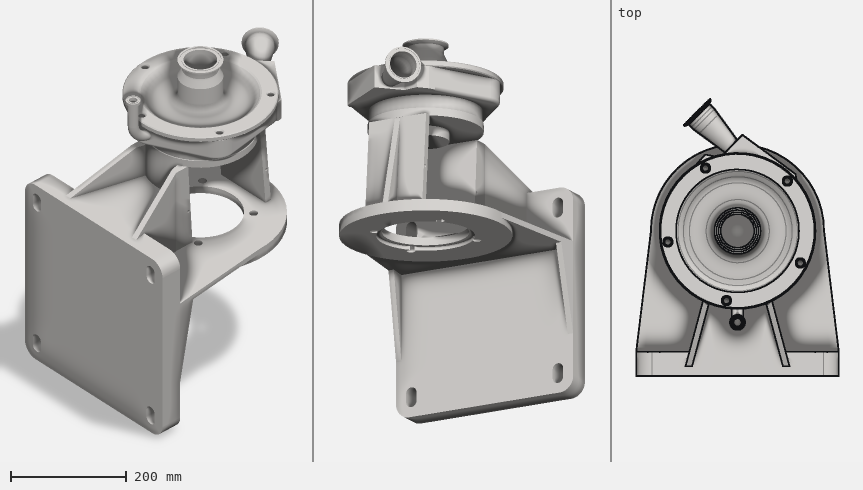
import cadquery as cq
import math


plate_width = 350.0
plate_height = 370.5
plate_thickness = 41.5
plate_front_y = -250.5
plate_back_y = plate_front_y + plate_thickness
plate_corner_radius = 27.0
slot_spacing_x = 289.5
slot_edge_distance = 35.5
slot_length = 35.5
slot_width = 21.0

shelf_top_z = 269.5
shelf_disc_thickness = 21.0
shelf_web_thickness = 10.0
shelf_radius = 149.5
shelf_hole_radius = 75.5
spigot_recess_radius = 85.5
spigot_recess_depth = 6.5
shelf_bolt_circle_radius = 92.0
shelf_bolt_radius = 8.0
shelf_bolt_count = 4
shelf_first_bolt_angle = 45.0
gusset_reach = 34.5
gusset_height = 156.0
gusset_thickness = 10.5

lantern_top_z = 435.5
lantern_half_width = 56.5
front_wall_radius = 100.5
front_wall_inner_top_y = -81.0
front_wall_inner_bottom_y = -70.5
rib_start_y = -109.0
rib_end_y = -234.0
rib_angle = 15.0
rib_thickness = 11.0
rear_wall_inner_top_y = 87.0
rear_wall_inner_bottom_y = 101.0
rear_wall_thickness = 12.5
rear_rib_foot_y = 143.5
rear_rib_thickness = 10.5
wall_hole_radius = 3.0
wall_hole_depth = 9.0
wall_hole_z = 339.5
wall_hole_places_y = (-80.0, 102.5)

lower_ring_radius = front_wall_radius
upper_ring_radius = 98.5
upper_ring_z = 450.0
boss_radius = 41.0
boss_length = 17.0

casing_bottom_z = 473.5
casing_top_z = 514.0
casing_corner_count = 5
casing_corner_distance = 98.5
casing_corner_radius = 35.5
casing_edge_radius = 6.0
casing_floor_thickness = 10.0
first_corner_angle = 45.0
corner_step = 360.0 / casing_corner_count

block_flat_angle = first_corner_angle + 1.5 * corner_step
block_flat_end = 70.5
block_tip = (-56.0, 132.0)
block_notch = (-29.0, 127.0)
block_outer_corner = (8.5, 166.0)
block_tail = [(100.5, 98.0), (102.0, 88.0)]

cover_radius = 135.0
cover_top_z = 524.5
cover_edge_chamfer = 2.0
cover_bolt_circle_radius = 121.5
cover_bolt_radius = 6.0
cover_bolt_sink_radius = 8.5
cover_bolt_depth = 24.0
recess_floor_z = 509.0
recess_rim_radius = 106.0
recess_rim_chamfer_width = 3.0
recess_wall_radius = recess_rim_radius - recess_rim_chamfer_width
recess_wall_angle = math.radians(45)
recess_rim_chamfer_depth = 2.0
recess_fillet_radius = 15.0

top_z = 593.5
nozzle_radius = 40.0
nozzle_neck_radius = 32.0
nozzle_bore_radius = 29.0
reducer_bottom_z = 559.0
reducer_top_z = 575.0
nozzle_lip_radius = 40.0
nozzle_lip_thickness = 2.5
nozzle_lip_taper = 4.0
nozzle_groove_radius = 34.5

discharge_angle = 135.0
discharge_z = 492.5
discharge_offset = 95.5
discharge_start = 109.0
discharge_end = 194.5
discharge_cone_end = 177.5
discharge_small_radius = 15.0
discharge_large_radius = 25.5
discharge_wall = 2.5
discharge_mouth_end = 183.5
discharge_mouth_radius = 24.0
discharge_throat_end = 166.0
discharge_throat_radius = 22.0
discharge_lip_radius = 32.0
discharge_lip_thickness = 2.5
discharge_lip_taper = 3.0
discharge_groove_radius = 27.5

pipe_y = -158.0
pipe_end_z = 495.5
pipe_radius = 9.5
pipe_bore_radius = 7.0
pipe_bend_radius = 36.0
pipe_top_z = 584.5
pipe_lip_radius = 13.0
pipe_lip_thickness = 5.5
pipe_groove_radius = 10.0

groove_width = 3.5
groove_depth = 1.0


def cylinder(radius, bottom_z, top):
    return cq.Workplane("XY").workplane(offset=bottom_z).circle(radius).extrude(top - bottom_z)


def prism(points, bottom_z, top):
    """Extrude an XY outline between two heights."""
    return cq.Workplane("XY").workplane(offset=bottom_z).polyline(points).close().extrude(top - bottom_z)


def side_prism(points, width):
    """Extrude a YZ outline symmetrically about X = 0."""
    return cq.Workplane("YZ").polyline(points).close().extrude(width / 2, both=True)


def gasket_groove(radius, top):
    """Ring cut from a horizontal lip, centred on the Z axis."""
    return cylinder(radius + groove_width / 2, top - groove_depth, top).cut(
        cylinder(radius - groove_width / 2, top - groove_depth, top)
    )


def polar(radius, angle):
    return radius * math.cos(math.radians(angle)), radius * math.sin(math.radians(angle))


def mirrored(points):
    """Close a right-hand XY outline with its mirror image across X = 0."""
    return points + [(-x, y) for x, y in reversed(points)]


def make_wall_plate():
    plate = (
        cq.Workplane("XY")
        .box(plate_width, plate_thickness, plate_height, centered=(True, False, False))
        .translate((0, plate_front_y, 0))
        .edges("|Y")
        .fillet(plate_corner_radius)
    )
    for z in (slot_edge_distance, plate_height - slot_edge_distance):
        slots = (
            cq.Workplane("XZ", origin=(0, plate_back_y, z))
            .pushPoints([(-slot_spacing_x / 2, 0), (slot_spacing_x / 2, 0)])
            .slot2D(slot_length, slot_width, 90)
            .extrude(plate_thickness)
        )
        plate = plate.cut(slots)
    return plate


def make_shelf():
    web_bottom_z = shelf_top_z - shelf_web_thickness
    outline = mirrored([(shelf_radius, 0), (plate_width / 2, plate_back_y)])
    web = prism(outline, web_bottom_z, shelf_top_z)
    disc_bottom_z = shelf_top_z - shelf_disc_thickness
    disc = cylinder(shelf_radius, disc_bottom_z, shelf_top_z)
    opening = cylinder(shelf_hole_radius, disc_bottom_z, shelf_top_z)
    recess = cylinder(spigot_recess_radius, disc_bottom_z, disc_bottom_z + spigot_recess_depth)
    bolts = (
        cq.Workplane("XY", origin=(0, 0, shelf_top_z))
        .polarArray(shelf_bolt_circle_radius, shelf_first_bolt_angle, 360, shelf_bolt_count)
        .circle(shelf_bolt_radius)
        .extrude(-shelf_disc_thickness)
    )

    wedge = side_prism(
        [
            (plate_back_y, web_bottom_z),
            (plate_back_y + gusset_reach, web_bottom_z),
            (plate_back_y, web_bottom_z - gusset_height),
        ],
        plate_width,
    )
    inner_outline = mirrored(
        [(shelf_radius - gusset_thickness, 0), (plate_width / 2 - gusset_thickness, plate_back_y)]
    )
    gussets = wedge.intersect(prism(outline, 0, shelf_top_z)).cut(prism(inner_outline, 0, shelf_top_z))
    return web.union(disc).cut(opening).cut(recess).cut(bolts).union(gussets)


def make_front_wall():
    rib_slope = math.tan(math.radians(rib_angle))
    rib_end_x = lantern_half_width + (rib_start_y - rib_end_y) * rib_slope
    inner_x = lantern_half_width - rib_thickness + rib_start_y * rib_slope
    outer_side = [(lantern_half_width, 0), (lantern_half_width, rib_start_y), (rib_end_x, rib_end_y)]
    filled_outline = mirrored(outer_side)
    ribs = prism(filled_outline, shelf_top_z, lantern_top_z).cut(
        prism(
            mirrored([(inner_x, 0), (rib_end_x - rib_thickness, rib_end_y)]),
            shelf_top_z,
            lantern_top_z,
        )
    )
    wall = cylinder(front_wall_radius, shelf_top_z, lantern_top_z).intersect(
        prism(filled_outline, shelf_top_z, lantern_top_z)
    )
    block = prism(filled_outline, shelf_top_z, plate_height)
    profile = side_prism(
        [
            (front_wall_inner_bottom_y, shelf_top_z),
            (front_wall_inner_top_y, lantern_top_z),
            (rib_start_y, lantern_top_z),
            (rib_end_y, plate_height),
            (rib_end_y, shelf_top_z),
        ],
        plate_width,
    )
    return ribs.union(wall).union(block).intersect(profile)


def make_rear_wall():
    outer_top_y = rear_wall_inner_top_y + rear_wall_thickness
    outer_bottom_y = rear_wall_inner_bottom_y + rear_wall_thickness
    wall = side_prism(
        [
            (rear_wall_inner_bottom_y, shelf_top_z),
            (rear_wall_inner_top_y, lantern_top_z),
            (outer_top_y, lantern_top_z),
            (outer_bottom_y, shelf_top_z),
        ],
        2 * lantern_half_width,
    )
    rib = side_prism(
        [
            (rear_wall_inner_bottom_y, shelf_top_z),
            (outer_top_y, lantern_top_z),
            (rear_rib_foot_y, shelf_top_z),
        ],
        rear_rib_thickness,
    )
    return wall.union(rib)


def make_wall_holes():
    holes = cq.Workplane("YZ")
    for side in (-1, 1):
        face = cq.Workplane("YZ", origin=(side * lantern_half_width, 0, wall_hole_z))
        drill = face.pushPoints([(y, 0) for y in wall_hole_places_y]).circle(wall_hole_radius)
        holes = holes.add(drill.extrude(-side * wall_hole_depth, combine=False))
    return holes.combine()


def make_base_rings():
    lower_ring = cylinder(lower_ring_radius, lantern_top_z, upper_ring_z)
    upper_ring = cylinder(upper_ring_radius, upper_ring_z, casing_bottom_z)
    boss = cylinder(boss_radius, lantern_top_z - boss_length, lantern_top_z)
    return lower_ring.union(upper_ring).union(boss)


def make_casing():
    corners = [
        polar(casing_corner_distance, first_corner_angle + i * corner_step)
        for i in range(casing_corner_count)
    ]
    casing = (
        cq.Workplane("XY", origin=(0, 0, casing_bottom_z))
        .polyline(corners)
        .close()
        .offset2D(casing_corner_radius)
        .extrude(casing_top_z - casing_bottom_z)
        .faces("<Z")
        .edges()
        .fillet(casing_edge_radius)
    )
    return casing.union(make_discharge_block())


def make_discharge_block():
    half_corner = math.radians(corner_step / 2)
    flat_distance = casing_corner_distance * math.cos(half_corner) + casing_corner_radius
    flat_x, flat_y = polar(flat_distance, block_flat_angle)

    def along_flat(distance):
        step_x, step_y = polar(distance, block_flat_angle - 90)
        return flat_x + step_x, flat_y + step_y

    flat_half_length = casing_corner_distance * math.sin(half_corner)
    outline = [
        (0, 0),
        along_flat(flat_half_length),
        along_flat(block_flat_end),
        block_tip,
        block_notch,
        block_outer_corner,
        *block_tail,
    ]
    return prism(outline, casing_bottom_z, casing_top_z)


def make_cover():
    """Recessed cover plate and suction nozzle as one turned body."""
    half_turn = recess_wall_angle / 2
    fillet_width = recess_fillet_radius * math.sin(recess_wall_angle)
    fillet_rise = recess_fillet_radius * (1 - math.cos(recess_wall_angle))
    wall_top_z = cover_top_z - recess_rim_chamfer_depth
    wall_rise = wall_top_z - recess_floor_z - fillet_rise
    fillet_outer_radius = recess_wall_radius - wall_rise / math.tan(recess_wall_angle)
    floor_outer_radius = fillet_outer_radius - fillet_width
    fillet_middle = (
        floor_outer_radius + recess_fillet_radius * math.sin(half_turn),
        recess_floor_z + recess_fillet_radius * (1 - math.cos(half_turn)),
    )
    foot_sweep = recess_fillet_radius * (1 - math.sqrt(0.5))
    lip_bottom_z = top_z - nozzle_lip_thickness
    return (
        cq.Workplane("XZ")
        .moveTo(0, casing_top_z - casing_edge_radius)
        .lineTo(recess_wall_radius, casing_top_z - casing_edge_radius)
        .lineTo(recess_wall_radius, casing_top_z)
        .lineTo(cover_radius - cover_edge_chamfer, casing_top_z)
        .lineTo(cover_radius, casing_top_z + cover_edge_chamfer)
        .lineTo(cover_radius, cover_top_z - cover_edge_chamfer)
        .lineTo(cover_radius - cover_edge_chamfer, cover_top_z)
        .lineTo(recess_rim_radius, cover_top_z)
        .lineTo(recess_wall_radius, wall_top_z)
        .lineTo(fillet_outer_radius, recess_floor_z + fillet_rise)
        .threePointArc(fillet_middle, (floor_outer_radius, recess_floor_z))
        .lineTo(nozzle_radius + recess_fillet_radius, recess_floor_z)
        .threePointArc(
            (nozzle_radius + foot_sweep, recess_floor_z + foot_sweep),
            (nozzle_radius, recess_floor_z + recess_fillet_radius),
        )
        .lineTo(nozzle_radius, reducer_bottom_z)
        .lineTo(nozzle_neck_radius, reducer_top_z)
        .lineTo(nozzle_neck_radius, lip_bottom_z - nozzle_lip_taper)
        .lineTo(nozzle_lip_radius, lip_bottom_z)
        .lineTo(nozzle_lip_radius, top_z)
        .lineTo(0, top_z)
        .close()
        .revolve(360, (0, 0, 0), (0, 1, 0))
    )


def make_cover_recess_clearance():
    """Space above the recess floor that the casing must leave free."""
    return cylinder(recess_wall_radius, recess_floor_z, casing_top_z)


def make_cover_bolts():
    sink_depth = cover_bolt_sink_radius - cover_bolt_radius
    bolt = (
        cq.Workplane("XZ")
        .polyline(
            [
                (0, 0),
                (cover_bolt_sink_radius, 0),
                (cover_bolt_radius, -sink_depth),
                (cover_bolt_radius, -cover_bolt_depth),
                (0, -cover_bolt_depth - cover_bolt_radius),
            ]
        )
        .close()
        .revolve(360, (0, 0, 0), (0, 1, 0))
    )
    bolts = cq.Workplane("XY")
    for i in range(casing_corner_count):
        x, y = polar(cover_bolt_circle_radius, first_corner_angle + i * corner_step)
        bolts = bolts.add(bolt.translate((x, y, cover_top_z)))
    return bolts.combine()


def place_on_discharge(points):
    """Turn (radius, distance) points into a body around the discharge axis."""
    axis_x, axis_y = polar(discharge_offset, discharge_angle - 90)
    direction_x, direction_y = polar(1, discharge_angle)
    plane = cq.Plane(
        origin=(axis_x, axis_y, discharge_z),
        xDir=(direction_y, -direction_x, 0),
        normal=(0, 0, 1),
    )
    return cq.Workplane(plane).polyline(points).close().revolve(360, (0, 0, 0), (0, 1, 0))


def make_discharge_nozzle():
    lip_start = discharge_end - discharge_lip_thickness
    root = discharge_start - discharge_wall
    outer = place_on_discharge(
        [
            (0, root),
            (discharge_small_radius, root),
            (discharge_small_radius, discharge_start),
            (discharge_large_radius, discharge_cone_end),
            (discharge_large_radius, lip_start - discharge_lip_taper),
            (discharge_lip_radius, lip_start),
            (discharge_lip_radius, discharge_end),
            (0, discharge_end),
        ]
    )
    bore = place_on_discharge(
        [
            (0, discharge_start),
            (discharge_small_radius - discharge_wall, discharge_start),
            (discharge_throat_radius, discharge_throat_end),
            (discharge_mouth_radius, discharge_mouth_end),
            (discharge_mouth_radius, discharge_end),
            (0, discharge_end),
        ]
    )
    groove = place_on_discharge(
        [
            (discharge_groove_radius - groove_width / 2, discharge_end - groove_depth),
            (discharge_groove_radius + groove_width / 2, discharge_end - groove_depth),
            (discharge_groove_radius + groove_width / 2, discharge_end),
            (discharge_groove_radius - groove_width / 2, discharge_end),
        ]
    )
    return outer.cut(bore).cut(groove)


def make_flush_pipe():
    """Upright tube that bends into the side of the casing."""
    bend_start_z = pipe_end_z + pipe_bend_radius
    start = cq.Workplane("XY", origin=(0, pipe_y, bend_start_z))
    upright = start.circle(pipe_radius).circle(pipe_bore_radius).extrude(pipe_top_z - bend_start_z)
    bend = start.circle(pipe_radius).circle(pipe_bore_radius).revolve(
        90, (0, pipe_bend_radius, 0), (1, pipe_bend_radius, 0)
    )
    lip = (
        cylinder(pipe_lip_radius, pipe_top_z - pipe_lip_thickness, pipe_top_z)
        .cut(cylinder(pipe_bore_radius, pipe_top_z - pipe_lip_thickness, pipe_top_z))
        .cut(gasket_groove(pipe_groove_radius, pipe_top_z))
        .translate((0, pipe_y, 0))
    )
    return upright.union(bend).union(lip)


bracket = make_wall_plate().union(make_shelf()).union(make_front_wall()).union(make_rear_wall())
bracket = bracket.cut(make_wall_holes())

casing_body = make_casing().cut(make_cover_recess_clearance())
suction_bore = cylinder(nozzle_bore_radius, casing_bottom_z + casing_floor_thickness, top_z)
suction_groove = gasket_groove(nozzle_groove_radius, top_z)
pump = casing_body.union(make_cover()).cut(suction_bore).cut(suction_groove).cut(make_cover_bolts())
pump = pump.union(make_base_rings()).union(make_discharge_nozzle()).union(make_flush_pipe())

result = bracket.union(pump)